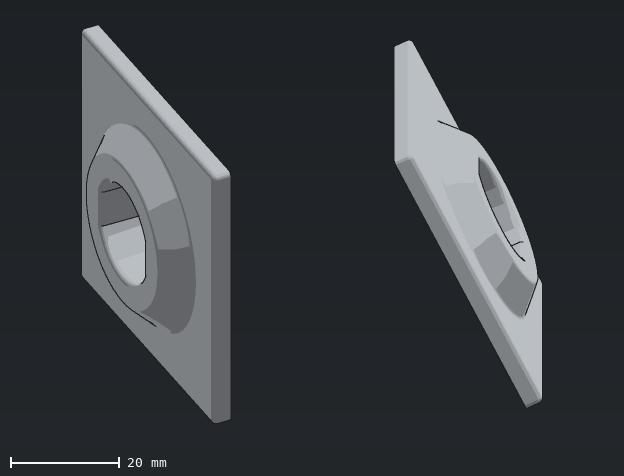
import cadquery as cq

plate_side = 55.25
plate_thickness = 3.6
plate_rounding = 1.0

boss_height = 5.0
boss_top_radius = 15.0
boss_base_radius = boss_top_radius + boss_height
boss_rounding = 1.0

hole_radius = 9.65
hole_width = 17.8
hole_rounding = 1.0

total_depth = plate_thickness + boss_height


def make_plate():
    """Square plate with rounded corners and a rounded front rim."""
    plate = cq.Workplane("XZ").rect(plate_side, plate_side).extrude(plate_thickness)
    return plate.edges("|Y or <Y").fillet(plate_rounding)


def make_boss():
    """Truncated cone on a cylindrical root that reaches the back of the plate."""
    half_profile = [
        (0, 0),
        (boss_base_radius, 0),
        (boss_base_radius, -plate_thickness),
        (boss_top_radius, -total_depth),
        (0, -total_depth),
    ]
    return cq.Workplane("XY").polyline(half_profile).close().revolve(360, (0, 0), (0, 1))


def round_boss(body):
    """Round the rim of the boss and the corner where it meets the plate."""
    body = body.faces("<Y").edges().fillet(boss_rounding)
    largest_circle = cq.selectors.RadiusNthSelector(-1)
    return body.edges("%CIRCLE").edges(largest_circle).fillet(boss_rounding)


def make_hole():
    """Cutter for the hole with two flats."""
    circle = cq.Workplane("XZ").circle(hole_radius).extrude(total_depth)
    band = cq.Workplane("XZ").rect(hole_width, 2 * hole_radius).extrude(total_depth)
    return circle.intersect(band)


def round_hole(body):
    """Round the front mouth of the hole, the shorter outline of the boss face."""
    shortest_outline = cq.selectors.LengthNthSelector(0)
    return body.faces("<Y").wires(shortest_outline).fillet(hole_rounding)


body = round_boss(make_plate().union(make_boss()))
result = round_hole(body.cut(make_hole()))